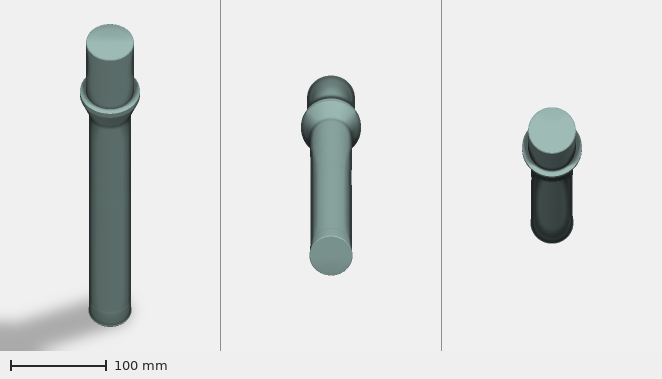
import cadquery as cq

TOTAL_HEIGHT = 437.0
COLLAR_TOP = 357.5
COLLAR_RIM_BOTTOM = 351.0
CONE_BOTTOM = 324.2
NECK_TOP = 321.0
NECK_BOTTOM = 316.0
TAPER_BOTTOM = 191.5
FLARE_TOP = 24.5
FLARE_BOTTOM = 20.5
TIP_TOP = 2.0
TIP_CREST = 1.5

COLLAR_DIAMETER = 62.5
STUB_DIAMETER = 50.0
CONE_END_DIAMETER = 44.0
SHAFT_DIAMETER = 43.5
WAIST_DIAMETER = 43.3
TIP_DIAMETER = 45.0

STUB_CHAMFER = 1.0


def revolve_stations(stations):
    """Revolve a solid about Z through (diameter, height) stations listed upward."""
    bottom = stations[0][1]
    top = stations[-1][1]
    rim = [(diameter / 2, height) for diameter, height in stations]
    profile = cq.Workplane("XZ").polyline([(0, bottom), *rim, (0, top)]).close()
    return profile.revolve(360, (0, 0), (0, 1))


def make_tip():
    """Thin end disc whose edge stands slightly proud of the shaft."""
    return revolve_stations([
        (SHAFT_DIAMETER, 0),
        (TIP_DIAMETER, TIP_CREST),
        (SHAFT_DIAMETER, TIP_TOP),
    ])


def make_shaft():
    """Waisted shaft with a conical collar and a straight chamfered stub on top."""
    shaft = revolve_stations([
        (SHAFT_DIAMETER, TIP_TOP),
        (SHAFT_DIAMETER, FLARE_BOTTOM),
        (WAIST_DIAMETER, FLARE_TOP),
        (WAIST_DIAMETER, TAPER_BOTTOM),
        (SHAFT_DIAMETER, NECK_BOTTOM),
        (SHAFT_DIAMETER, NECK_TOP),
        (CONE_END_DIAMETER, CONE_BOTTOM),
        (COLLAR_DIAMETER, COLLAR_RIM_BOTTOM),
        (COLLAR_DIAMETER, COLLAR_TOP),
        (STUB_DIAMETER, COLLAR_TOP),
        (STUB_DIAMETER, TOTAL_HEIGHT),
    ])
    return shaft.faces(">Z").edges().chamfer(STUB_CHAMFER)


tip = make_tip()
shaft = make_shaft()
result = cq.Compound.makeCompound([tip.val(), shaft.val()])